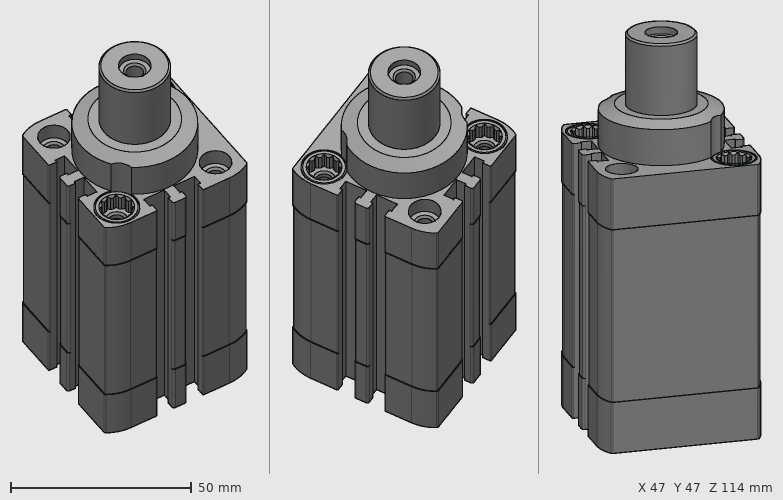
import cadquery as cq
import math

TOTAL_HEIGHT = 114.0
BODY_HEIGHT = 80.9
COLLAR_TOP = 93.0
END_CAP_HEIGHT = 15.0

BODY_WIDTH = 47.0
HALF_WIDTH = BODY_WIDTH / 2
CORNER_RADIUS = 13.0
CORNER_FILLET = 0.7
BARREL_INSET = 0.25

RIB_HEAD_HALF_WIDTH = 2.3
RIB_STEM_HALF_WIDTH = 1.6
RIB_FILLET = 0.7
LIP_HALF_GAP = 7.5
LIP_FILLET = 0.3
SLOT_UNDERCUT = 8.3
LIP_THICKNESS = 2.6
SLOT_DEPTH = 5.7
PICK_MARGIN = 0.1
SLOTTED_SIDE_ANGLES = (0, 90, -90)

HOLE_SPACING = 32.5
HOLE_OFFSET = HOLE_SPACING / 2
PLAIN_CORNERS = [(-HOLE_OFFSET, -HOLE_OFFSET), (HOLE_OFFSET, HOLE_OFFSET)]
SCREW_CORNERS = [(-HOLE_OFFSET, HOLE_OFFSET), (HOLE_OFFSET, -HOLE_OFFSET)]
BORE_DIAMETER = 4.9
BORE_MOUTH_DIAMETER = 6.2
COUNTERBORE_DIAMETER = 9.0
CORNER_COUNTERBORE_DEPTH = 5.0

COLLAR_DIAMETER = 35.0
COLLAR_TOP_DIAMETER = 26.0
COLLAR_CONE_HEIGHT = 1.5
ROD_DIAMETER = 20.0
ROD_CHAMFER = 0.6
ROD_COUNTERBORE_DEPTH = 2.0
ROD_BORE_DEPTH = 16.0
DRILL_POINT_ANGLE = 118

SCREW_DIAMETER = 12.8
SCREW_HEIGHT = 7.0
SCREW_CHAMFER = 0.5
SOCKET_DEPTH = CORNER_COUNTERBORE_DEPTH
SOCKET_ROOT_DIAMETER = 8.5
SOCKET_TIP_DIAMETER = 9.8
SOCKET_MOUTH_DIAMETER = 9.9
SOCKET_SQUARES = 3


def cylinder(diameter, bottom, top):
    """Vertical cylinder on the Z axis."""
    return cq.Workplane("XY").workplane(offset=bottom).circle(diameter / 2).extrude(top - bottom)


def mouth_cone(mouth_diameter, diameter, top):
    """45-degree countersink cutter, widest at its top."""
    depth = (mouth_diameter - diameter) / 2
    profile = [(0, top), (mouth_diameter / 2, top), (diameter / 2, top - depth), (0, top - depth)]
    return cq.Workplane("XZ").polyline(profile).close().revolve(360, (0, 0, 0), (0, 1, 0))


def body_prism(half_width, bottom, top):
    """Square prism whose corners curve in from the +X and -X sides."""
    arc_center_x = HALF_WIDTH - CORNER_RADIUS
    arc_radius = half_width - arc_center_x
    side_end_y = HOLE_OFFSET

    def arc_point(y):
        return arc_center_x + math.sqrt(arc_radius**2 - (y - side_end_y) ** 2)

    corner_x = arc_point(half_width)
    middle_y = (half_width + side_end_y) / 2
    middle_x = arc_point(middle_y)
    return (
        cq.Workplane("XY")
        .workplane(offset=bottom)
        .moveTo(half_width, -side_end_y)
        .lineTo(half_width, side_end_y)
        .threePointArc((middle_x, middle_y), (corner_x, half_width))
        .lineTo(-corner_x, half_width)
        .threePointArc((-middle_x, middle_y), (-half_width, side_end_y))
        .lineTo(-half_width, -side_end_y)
        .threePointArc((-middle_x, -middle_y), (-corner_x, -half_width))
        .lineTo(corner_x, -half_width)
        .threePointArc((middle_x, -middle_y), (half_width, -side_end_y))
        .close()
        .extrude(top - bottom)
    )


def slot_pair():
    """Cutter for the two undercut slots of the -Y side."""
    floor_y = SLOT_DEPTH - HALF_WIDTH
    lip_y = LIP_THICKNESS - HALF_WIDTH
    slot = (
        cq.Workplane("XY")
        .moveTo(RIB_HEAD_HALF_WIDTH, -HALF_WIDTH)
        .lineTo(LIP_HALF_GAP, -HALF_WIDTH)
        .lineTo(LIP_HALF_GAP, lip_y)
        .lineTo(SLOT_UNDERCUT, lip_y)
        .lineTo(SLOT_UNDERCUT, floor_y)
        .lineTo(RIB_STEM_HALF_WIDTH, floor_y)
        .lineTo(RIB_STEM_HALF_WIDTH, lip_y)
        .lineTo(RIB_HEAD_HALF_WIDTH, lip_y)
        .close()
        .extrude(BODY_HEIGHT)
    )
    return slot.union(slot.mirror("YZ"))


def vertical_edges_at(x, y, angle):
    """Selector for the vertical edges at (+-x, y), turned about Z by an angle."""
    turn = math.radians(angle)
    selector = None
    for side_x in (-x, x):
        turned_x = side_x * math.cos(turn) - y * math.sin(turn)
        turned_y = side_x * math.sin(turn) + y * math.cos(turn)
        box = cq.selectors.BoxSelector(
            (turned_x - PICK_MARGIN, turned_y - PICK_MARGIN, 0),
            (turned_x + PICK_MARGIN, turned_y + PICK_MARGIN, BODY_HEIGHT),
        )
        selector = box if selector is None else selector + box
    return selector


def slotted_body():
    """Two end caps with the slightly smaller barrel between them."""
    barrel_top = BODY_HEIGHT - END_CAP_HEIGHT
    lower_cap = body_section(HALF_WIDTH, CORNER_FILLET, 0, END_CAP_HEIGHT)
    barrel = body_section(
        HALF_WIDTH - BARREL_INSET, CORNER_FILLET - BARREL_INSET, END_CAP_HEIGHT, barrel_top
    )
    upper_cap = body_section(HALF_WIDTH, CORNER_FILLET, barrel_top, BODY_HEIGHT)
    return lower_cap.union(barrel).union(upper_cap)


def body_section(half_width, corner_fillet, bottom, top):
    """Slotted length of the body with rounded corners, slot lips and rib edges."""
    section = body_prism(half_width, bottom, top).edges("|Z").edges("<Y or >Y").fillet(corner_fillet)
    for angle in SLOTTED_SIDE_ANGLES:
        cutter = slot_pair().rotate((0, 0, 0), (0, 0, 1), angle)
        section = section.cut(cutter)
        for x, radius in ((RIB_HEAD_HALF_WIDTH, RIB_FILLET), (LIP_HALF_GAP, LIP_FILLET)):
            section = section.edges(vertical_edges_at(x, -half_width, angle)).fillet(radius)
    return section


def collar_and_rod():
    """Collar with a conical top and the chamfered rod rising from it."""
    profile = [
        (0, BODY_HEIGHT),
        (COLLAR_DIAMETER / 2, BODY_HEIGHT),
        (COLLAR_DIAMETER / 2, COLLAR_TOP - COLLAR_CONE_HEIGHT),
        (COLLAR_TOP_DIAMETER / 2, COLLAR_TOP),
        (ROD_DIAMETER / 2, COLLAR_TOP),
        (ROD_DIAMETER / 2, TOTAL_HEIGHT - ROD_CHAMFER),
        (ROD_DIAMETER / 2 - ROD_CHAMFER, TOTAL_HEIGHT),
        (0, TOTAL_HEIGHT),
    ]
    return cq.Workplane("XZ").polyline(profile).close().revolve(360, (0, 0, 0), (0, 1, 0))


def stepped_bore(bottom, top, counterbore_depth):
    """Cutter for a bore with a countersunk mouth at the floor of a counterbore."""
    floor = top - counterbore_depth
    return (
        cylinder(BORE_DIAMETER, bottom, floor)
        .union(mouth_cone(BORE_MOUTH_DIAMETER, BORE_DIAMETER, floor))
        .union(cylinder(COUNTERBORE_DIAMETER, floor, top))
    )


def rod_bore():
    """Blind stepped bore in the rod end, closed by a drill point."""
    bottom = TOTAL_HEIGHT - ROD_BORE_DEPTH
    point_depth = BORE_DIAMETER / 2 / math.tan(math.radians(DRILL_POINT_ANGLE / 2))
    point = (
        cq.Workplane("XZ")
        .polyline([(0, bottom), (BORE_DIAMETER / 2, bottom), (0, bottom - point_depth)])
        .close()
        .revolve(360, (0, 0, 0), (0, 1, 0))
    )
    return stepped_bore(bottom, TOTAL_HEIGHT, ROD_COUNTERBORE_DEPTH).union(point)


def make_housing():
    """Body, collar and rod in one piece, with the corner bores and screw recesses."""
    housing = slotted_body().union(collar_and_rod()).cut(rod_bore())
    corner_bore = stepped_bore(0, BODY_HEIGHT, CORNER_COUNTERBORE_DEPTH)
    for x, y in PLAIN_CORNERS:
        housing = housing.cut(corner_bore.translate((x, y, 0)))
    recess_floor = BODY_HEIGHT - SCREW_HEIGHT
    screw_recess = cylinder(BORE_DIAMETER, 0, recess_floor).union(
        cylinder(SCREW_DIAMETER, recess_floor, COLLAR_TOP)
    )
    for x, y in SCREW_CORNERS:
        housing = housing.cut(screw_recess.translate((x, y, 0)))
    return housing


def twelve_point_socket():
    """Socket cutter: a round core with the corners of three turned squares, and a flared mouth."""
    floor = BODY_HEIGHT - SOCKET_DEPTH
    socket = cylinder(SOCKET_ROOT_DIAMETER, floor, BODY_HEIGHT)
    square_side = SOCKET_TIP_DIAMETER / math.sqrt(2)
    square = cq.Workplane("XY").workplane(offset=floor).rect(square_side, square_side).extrude(SOCKET_DEPTH)
    for i in range(SOCKET_SQUARES):
        angle = 45 + i * 90 / SOCKET_SQUARES
        socket = socket.union(square.rotate((0, 0, 0), (0, 0, 1), angle))
    return socket.union(mouth_cone(SOCKET_MOUTH_DIAMETER, SOCKET_ROOT_DIAMETER, BODY_HEIGHT))


def make_screw(x, y):
    """Hollow screw, flush with the top of the body."""
    bottom = BODY_HEIGHT - SCREW_HEIGHT
    socket_floor = BODY_HEIGHT - SOCKET_DEPTH
    screw = (
        cylinder(SCREW_DIAMETER, bottom, BODY_HEIGHT)
        .faces(">Z")
        .chamfer(SCREW_CHAMFER)
        .cut(twelve_point_socket())
        .cut(cylinder(BORE_DIAMETER, bottom, socket_floor))
        .cut(mouth_cone(BORE_MOUTH_DIAMETER, BORE_DIAMETER, socket_floor))
    )
    return screw.translate((x, y, 0))


housing = make_housing()
screws = [make_screw(x, y) for x, y in SCREW_CORNERS]

result = cq.Compound.makeCompound([housing.val(), *[screw.val() for screw in screws]])